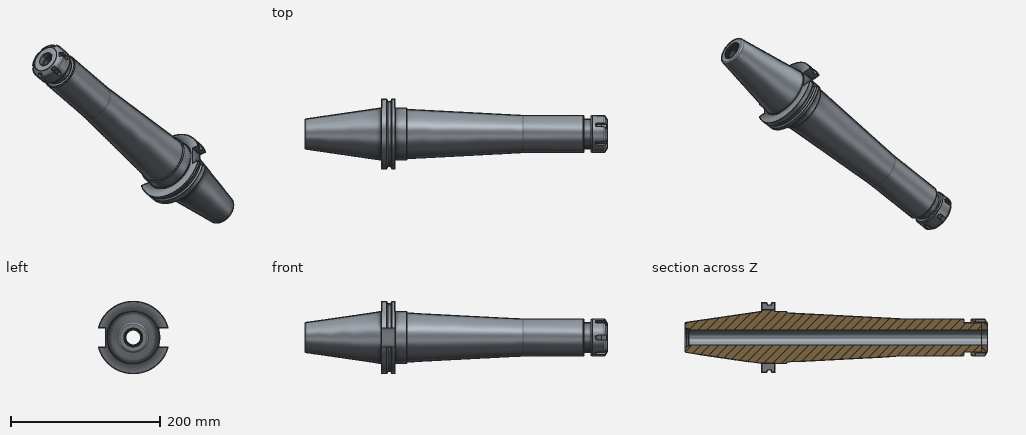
import cadquery as cq

total_length = 406.5
selection_margin = 0.2

cone_large_dia = 70.0
cone_length = 102.0
cone_taper = 7 / 24
cone_small_dia = cone_large_dia - cone_taper * cone_length
rear_edge_radius = 2.25

flange_dia = 97.0
flange_start = 103.3
flange_end = 120.8
flange_root_radius = 1.0
groove_center = 113.5
groove_bottom_dia = 91.0
groove_bottom_width = 4.0
groove_top_width = 7.0

drive_slot_width = 25.5
near_slot_floor = 34.5
far_slot_floor = 37.5

collar_end = 137.5
collar_chamfer = 1.0
shank_taper_end = 292.7
shank_dia = 50.0
shank_taper_start_dia = 66.3
shank_end = 375.0
shank_chamfer = 1.2
spigot_dia = 40.0
spigot_end = 398.5

bore_dia = 20.0
entry_steps = [
    (25.2, 2.0),
    (23.5, 4.0),
    (22.0, 5.5),
]

nut_dia = shank_dia
nut_start = 384.0
nut_rear_chamfer = 1.2
nut_rear_chamfer_length = 2.0
nut_face_dia = 36.0
nut_cone_start = 402.5
nut_edge_radius = 3.0

wrench_slot_count = 6
wrench_slot_width = 6.0
wrench_slot_start = 390.5
wrench_slot_floor = 20.7


def cylinder_along_x(diameter, start, end):
    return cq.Workplane("YZ", origin=(start, 0, 0)).circle(diameter / 2).extrude(end - start)


def revolve_about_x(outline):
    """Turn a closed outline of (x, radius) points about the X axis."""
    return cq.Workplane("XY").polyline(outline).close().revolve(360, (0, 0, 0), (1, 0, 0))


def circle_selector(x, diameter):
    """Select the circular edge of this diameter about the X axis at position x."""
    reach = diameter / 2 + selection_margin
    return cq.selectors.BoxSelector(
        (x - selection_margin, -reach, -reach), (x + selection_margin, reach, reach), boundingbox=True
    )


def make_holder_blank():
    blank = revolve_about_x([
        (0, 0),
        (0, cone_small_dia / 2),
        (cone_length, cone_large_dia / 2),
        (flange_start, cone_large_dia / 2),
        (flange_start, flange_dia / 2),
        (groove_center - groove_top_width / 2, flange_dia / 2),
        (groove_center - groove_bottom_width / 2, groove_bottom_dia / 2),
        (groove_center + groove_bottom_width / 2, groove_bottom_dia / 2),
        (groove_center + groove_top_width / 2, flange_dia / 2),
        (flange_end, flange_dia / 2),
        (flange_end, cone_large_dia / 2),
        (collar_end - collar_chamfer, cone_large_dia / 2),
        (collar_end, shank_taper_start_dia / 2),
        (shank_taper_end, shank_dia / 2),
        (shank_end - shank_chamfer, shank_dia / 2),
        (shank_end, shank_dia / 2 - shank_chamfer),
        (shank_end, spigot_dia / 2),
        (spigot_end, spigot_dia / 2),
        (spigot_end, 0),
    ])
    blank = blank.edges(circle_selector(0, cone_small_dia)).fillet(rear_edge_radius)
    for flange_face in (flange_start, flange_end):
        blank = blank.edges(circle_selector(flange_face, cone_large_dia)).fillet(flange_root_radius)
    return blank


def make_drive_slot(floor, side):
    """Box that clears the flange beyond `floor`; side is +1 for +Y and -1 for -Y."""
    depth = flange_dia / 2 - floor
    return cq.Workplane("XY").box(
        flange_end - flange_start, depth, drive_slot_width
    ).translate(((flange_start + flange_end) / 2, side * (floor + depth / 2), 0))


def make_holder():
    holder = make_holder_blank()
    holder = holder.cut(make_drive_slot(near_slot_floor, -1))
    holder = holder.cut(make_drive_slot(far_slot_floor, 1))
    holder = holder.cut(cylinder_along_x(bore_dia, 0, spigot_end))
    for diameter, depth in entry_steps:
        holder = holder.cut(cylinder_along_x(diameter, 0, depth))
    return holder


def make_wrench_slot():
    """Round-ended slot cutter that opens through the front of the nut on its -Y side."""
    end_radius = wrench_slot_width / 2
    return (
        cq.Workplane("XZ", origin=(0, -wrench_slot_floor, 0))
        .moveTo(total_length, -end_radius)
        .lineTo(wrench_slot_start + end_radius, -end_radius)
        .threePointArc((wrench_slot_start, 0), (wrench_slot_start + end_radius, end_radius))
        .lineTo(total_length, end_radius)
        .close()
        .extrude(nut_dia / 2 - wrench_slot_floor)
    )


def make_nut():
    nut = revolve_about_x([
        (nut_start, 0),
        (nut_start, nut_dia / 2 - nut_rear_chamfer),
        (nut_start + nut_rear_chamfer_length, nut_dia / 2),
        (nut_cone_start, nut_dia / 2),
        (total_length, nut_face_dia / 2),
        (total_length, 0),
    ])
    nut = nut.edges(circle_selector(nut_cone_start, nut_dia)).fillet(nut_edge_radius)
    nut = nut.cut(cylinder_along_x(spigot_dia, nut_start, spigot_end))
    nut = nut.cut(cylinder_along_x(bore_dia, spigot_end, total_length))
    for index in range(wrench_slot_count):
        angle = index * 360 / wrench_slot_count
        nut = nut.cut(make_wrench_slot().rotate((0, 0, 0), (1, 0, 0), angle))
    return nut


holder = make_holder()
nut = make_nut()
result = cq.Compound.makeCompound([holder.val(), nut.val()])